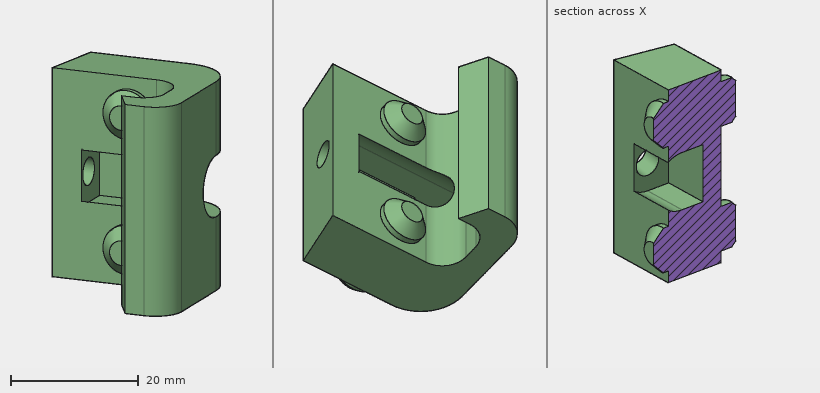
import cadquery as cq
import math

height = 34.0
width = 26.8
body_depth = 26.0
plate_thickness = 10.78
hook_wall = 4.5
end_angle = 10.0
lip_angle = 30.0
lip_left = 16.52
outer_back_radius = 8.0
outer_front_radius = 4.5
inner_back_radius = 4.5
inner_front_radius = 3.5

pin_diameter = 8.0
pin_x = 13.1
pin_edge_distance = 6.02
pin_projection = 3.0
pin_tip_cone = 2.0
pin_back_chamfer = 0.8

slot_left = 5.03
slot_radius = 5.0
slot_axis_depth = 2.75
slot_back_depth = 7.05
slot_open_back_left = 20.67

end_hole_diameter = 4.5
end_hole_y = -7.28
end_hole_depth = 7.3
end_hole_clearance = 1.7

plate_front = -plate_thickness
end_offset = plate_thickness * math.tan(math.radians(end_angle))
lip_offset = hook_wall * math.tan(math.radians(lip_angle))
middle_z = height / 2


def round_corner(body, x, y, radius):
    """Fillet the vertical edge that passes through (x, y)."""
    reach = 0.05
    box = cq.selectors.BoxSelector((x - reach, y - reach, -reach), (x + reach, y + reach, height + reach))
    return body.edges("|Z").edges(box).fillet(radius)


def make_body():
    inner_x = width - hook_wall
    lip_y = hook_wall - body_depth
    outline = [
        (end_offset, 0),
        (width, 0),
        (width, -body_depth),
        (lip_left + lip_offset, -body_depth),
        (lip_left, lip_y),
        (inner_x, lip_y),
        (inner_x, plate_front),
        (0, plate_front),
    ]
    body = cq.Workplane("XY").polyline(outline).close().extrude(height)
    body = round_corner(body, width, 0, outer_back_radius)
    body = round_corner(body, width, -body_depth, outer_front_radius)
    body = round_corner(body, inner_x, plate_front, inner_back_radius)
    return round_corner(body, inner_x, lip_y, inner_front_radius)


def make_slot(left_x, back_y):
    """Slot cutter, running from left_x out through the right side, with its back at back_y."""
    axis_y = plate_front + slot_axis_depth
    bottom_z = middle_z - slot_radius
    top_z = middle_z + slot_radius
    return (
        cq.Workplane("YZ", origin=(left_x, 0, 0))
        .moveTo(back_y, bottom_z)
        .lineTo(axis_y, bottom_z)
        .threePointArc((axis_y - slot_radius, middle_z), (axis_y, top_z))
        .lineTo(back_y, top_z)
        .close()
        .extrude(width - left_x)
    )


def make_end_hole():
    angle = math.radians(end_angle)
    start_x = end_offset * (1 + end_hole_y / plate_thickness)
    start = cq.Vector(start_x, end_hole_y, middle_z)
    direction = cq.Vector(math.cos(angle), -math.sin(angle), 0)
    outside = start - direction * end_hole_clearance
    length = end_hole_depth + end_hole_clearance
    return cq.Solid.makeCylinder(end_hole_diameter / 2, length, outside, direction)


def make_pin(z):
    """Pin along Y, chamfered at the back and coned at the front."""
    radius = pin_diameter / 2
    back_y = pin_projection
    tip_y = plate_front - pin_projection
    return (
        cq.Workplane("XY")
        .moveTo(0, back_y)
        .lineTo(radius - pin_back_chamfer, back_y)
        .lineTo(radius, back_y - pin_back_chamfer)
        .lineTo(radius, tip_y + pin_tip_cone)
        .lineTo(radius - pin_tip_cone, tip_y)
        .lineTo(0, tip_y)
        .close()
        .revolve(360, (0, 0, 0), (0, 1, 0))
        .translate((pin_x, 0, z))
    )


result = make_body()
result = result.cut(make_slot(slot_left, plate_front + slot_back_depth))
result = result.cut(make_slot(slot_open_back_left, 0))
result = result.cut(cq.Workplane(make_end_hole()))
for pin_z in (pin_edge_distance, height - pin_edge_distance):
    result = result.union(make_pin(pin_z))